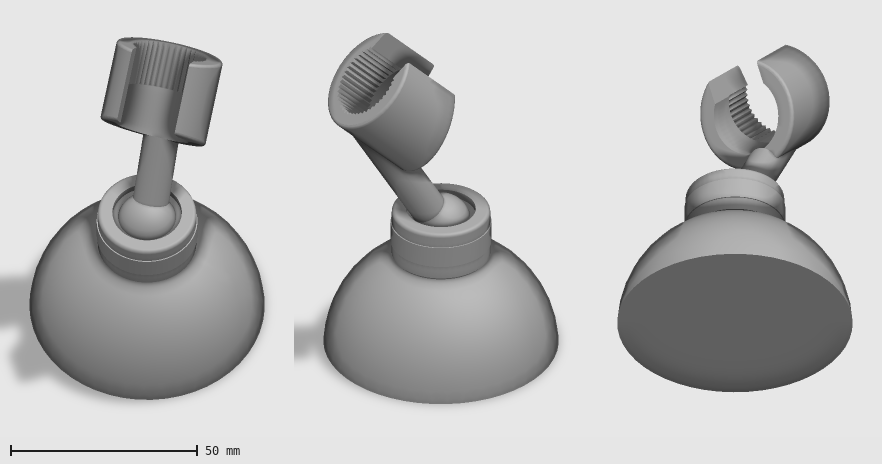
import cadquery as cq
import math

BASE_RADIUS = 31.5
DOME_CENTRE_DROP = 1.5
DOME_RADIUS = math.hypot(BASE_RADIUS, DOME_CENTRE_DROP)

NECK_RADIUS = 12.5
COLLAR_RADIUS = 13.2
BAND_RADIUS = 13.5
COLLAR_BOTTOM_Z = 28.2
BAND_BOTTOM_Z = 32.0
BAND_TOP_Z = 38.0
COLLAR_TOP_Z = 42.0
COLLAR_FILLET = 1.0
SOCKET_RADIUS = 9.3
SOCKET_DEPTH = 2.0

BALL_RADIUS = 8.15
BALL_CENTRE_Z = 37.5
STEM_RADIUS = 4.85
STEM_LENGTH = 44.0
STEM_TILT = 30.0
STEM_OFFSET = 0.4

RING_TILT = 45.0
RING_RADIUS = 14.5
RING_BORE_RADIUS = 10.0
RING_TOP_CENTRE = (0, 21.1, 87.6)
RING_SLOT_EDGE_LENGTH = 19.5
RING_END_SLANT = 15.0
RING_FILLET = 0.9
SLOT_WIDTH = 16.0

GROOVE_COUNT = 45
GROOVE_DEPTH = 0.75
GROOVE_LENGTH = 12.0

CLEARANCE = 1.0


def make_dome():
    """Slice of the sphere between the base plane and the circle where the neck starts."""
    top_z = math.sqrt(DOME_RADIUS**2 - NECK_RADIUS**2) - DOME_CENTRE_DROP
    sphere = cq.Workplane("XY").sphere(DOME_RADIUS).translate((0, 0, -DOME_CENTRE_DROP))
    slab = cq.Workplane("XY").circle(DOME_RADIUS).extrude(top_z)
    return sphere.intersect(slab)


def make_collar():
    def disc(radius, bottom, top):
        return cq.Workplane("XY").workplane(offset=bottom).circle(radius).extrude(top - bottom)

    neck = disc(NECK_RADIUS, 0, COLLAR_BOTTOM_Z)
    body = disc(COLLAR_RADIUS, COLLAR_BOTTOM_Z, COLLAR_TOP_Z).faces(">Z").edges().fillet(COLLAR_FILLET)
    band = disc(BAND_RADIUS, BAND_BOTTOM_Z, BAND_TOP_Z)
    socket = disc(SOCKET_RADIUS, COLLAR_TOP_Z - SOCKET_DEPTH, COLLAR_TOP_Z)
    return neck.union(body).union(band).cut(socket)


def make_ball_and_stem():
    ball = cq.Workplane("XY").sphere(BALL_RADIUS)
    stem = cq.Workplane("XY").center(0, STEM_OFFSET).circle(STEM_RADIUS).extrude(STEM_LENGTH)
    stem = stem.rotate((0, 0, 0), (1, 0, 0), -STEM_TILT)
    return ball.union(stem).translate((0, 0, BALL_CENTRE_Z))


def place_ring(shape):
    """Move a shape from ring coordinates (top face at z=0, slot towards -Y) to the part."""
    return shape.rotate((0, 0, 0), (1, 0, 0), -RING_TILT).translate(RING_TOP_CENTRE)


def make_ring_stock(radius, top_z):
    """Cylinder from top_z down to the slanted lower end of the ring."""
    slot_edge_y = -math.sqrt(RING_RADIUS**2 - (SLOT_WIDTH / 2) ** 2)
    slope = math.tan(math.radians(RING_END_SLANT))

    def lower_end(y):
        return -RING_SLOT_EDGE_LENGTH - (y - slot_edge_y) * slope

    side = [
        (-radius, top_z),
        (radius, top_z),
        (radius, lower_end(radius)),
        (-radius, lower_end(-radius)),
    ]
    wedge = cq.Workplane("YZ").polyline(side).close().extrude(radius, both=True)
    longest = top_z - lower_end(radius)
    cylinder = cq.Workplane("XY").workplane(offset=top_z).circle(radius).extrude(-longest)
    return wedge.intersect(cylinder)


def make_ring_body():
    return make_ring_stock(RING_RADIUS, 0).edges("%CIRCLE or %ELLIPSE").fillet(RING_FILLET)


def make_bore():
    """Bore that stops at the slanted end, so the stem below it stays whole."""
    return make_ring_stock(RING_BORE_RADIUS, CLEARANCE)


def make_slot():
    reach = 2 * RING_RADIUS
    slot = cq.Workplane("XY").workplane(offset=CLEARANCE).center(0, -reach / 2).rect(SLOT_WIDTH, reach)
    return slot.extrude(-reach - CLEARANCE)


def make_grooves():
    """Star-shaped prism: V grooves side by side all round the bore."""
    half_pitch = math.pi / GROOVE_COUNT
    points = []
    for index in range(2 * GROOVE_COUNT):
        radius = RING_BORE_RADIUS + GROOVE_DEPTH * (index % 2)
        angle = index * half_pitch + math.pi / 2
        points.append((radius * math.cos(angle), radius * math.sin(angle)))
    return cq.Workplane("XY").polyline(points).close().extrude(-GROOVE_LENGTH)


base = make_dome().union(make_collar())
holder = make_ball_and_stem().union(place_ring(make_ring_body()))
for opening in (make_bore(), make_slot(), make_grooves()):
    holder = holder.cut(place_ring(opening))
result = base.union(holder)